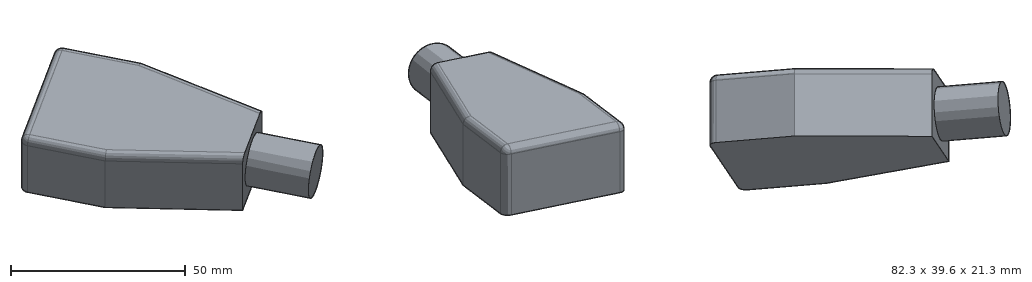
import cadquery as cq

total_length = 82.3
body_width = 39.6
body_height = 21.3

body_length = 63.5
straight_length = 25.35
neck_end_width = 21.0
edge_radius = 2.3

neck_diameter = 15.6
neck_length = total_length - body_length


def make_body():
    half_width = body_width / 2
    half_end_width = neck_end_width / 2
    body = (
        cq.Workplane("XY")
        .moveTo(0, -half_width)
        .lineTo(straight_length, -half_width)
        .lineTo(body_length, -half_end_width)
        .lineTo(body_length, half_end_width)
        .lineTo(straight_length, half_width)
        .lineTo(0, half_width)
        .close()
        .extrude(body_height)
    )
    rear_corners = body.faces("<X").edges("|Z")
    top_rim = body.faces(">Z").edges("not >X")
    return body.newObject(rear_corners.vals() + top_rim.vals()).fillet(edge_radius)


def make_neck():
    return (
        cq.Workplane("YZ", origin=(body_length, 0, body_height / 2))
        .circle(neck_diameter / 2)
        .extrude(neck_length)
    )


result = make_body().union(make_neck())